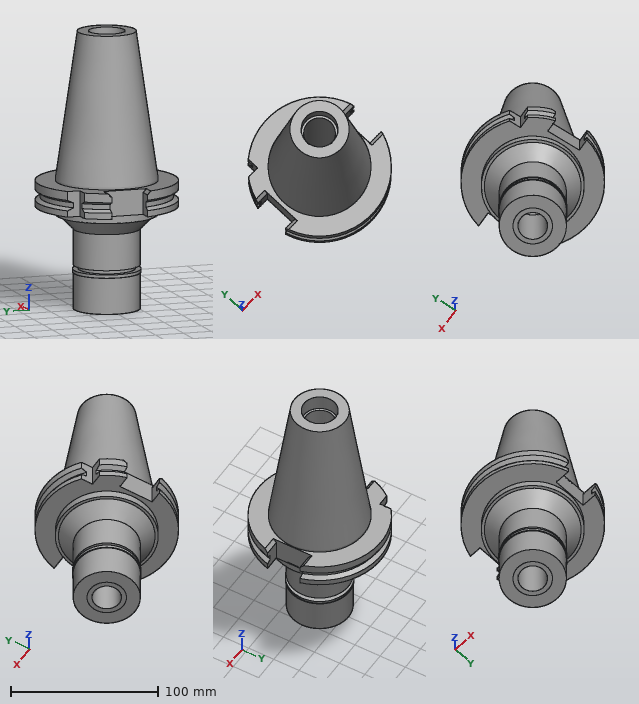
import cadquery as cq
import math

TOTAL_LENGTH = 191.8

SHANK_RADIUS = 34.9
TAPER_BASE_Z = 90.0
TAPER_RATIO = 7 / 48
TAPER_TIP_RADIUS = SHANK_RADIUS - (TOTAL_LENGTH - TAPER_BASE_Z) * TAPER_RATIO

FLANGE_RADIUS = 48.7
FLANGE_BOTTOM_Z = 71.0
FLANGE_TOP_Z = 88.5
GROOVE_Z = 78.8
GROOVE_FLOOR_RADIUS = 45.5
GROOVE_FLOOR_WIDTH = 3.5
GROOVE_WALL_ANGLE = 30.0

SLOT_WIDTH = 25.7
SLOT_CHAMFER = 2.5
LEFT_SLOT_FLOOR = 37.8
RIGHT_SLOT_FLOOR = 35.5
NOTCH_OFFSET = 29.7

COLLAR_BOTTOM_Z = 65.2
BODY_RADIUS = 22.8
BODY_TOP_Z = 55.2
BODY_BOTTOM_Z = 30.3
SHOULDER_RADIUS = BODY_RADIUS + (COLLAR_BOTTOM_Z - BODY_TOP_Z)
NOSE_RADIUS = 19.4

DRAWBAR_RADIUS = 12.5
DRAWBAR_DEPTH = 11.3
BORE_RADIUS = 10.7

NUT_RADIUS = BODY_RADIUS
NUT_RIM_RADIUS = 23.4
NUT_RIM_BOTTOM_Z = 25.1
NUT_TOP_Z = 27.5

COLLET_BORE_RADIUS = 10.0
COLLET_RADIUS = 16.5
COLLET_SHOULDER_Z = 5.4
COLLET_LENGTH = 40.0
COLLET_FRONT_ANGLE = 30.0
COLLET_TAPER_ANGLE = 8.0
COLLET_FRONT_RADIUS = COLLET_RADIUS - COLLET_SHOULDER_Z * math.tan(math.radians(COLLET_FRONT_ANGLE))
COLLET_REAR_RADIUS = COLLET_RADIUS - (COLLET_LENGTH - COLLET_SHOULDER_Z) * math.tan(
    math.radians(COLLET_TAPER_ANGLE)
)


def revolve_profile(points):
    """Turn a closed outline of (radius, z) points about the Z axis."""
    return cq.Workplane("XZ").polyline(points).close().revolve(360, (0, 0, 0), (0, 1, 0))


def make_turned_holder():
    """Holder as a turned part, with its grooved flange, bore and collet socket."""
    wall_height = (FLANGE_RADIUS - GROOVE_FLOOR_RADIUS) * math.tan(math.radians(GROOVE_WALL_ANGLE))
    floor_low = GROOVE_Z - GROOVE_FLOOR_WIDTH / 2
    floor_high = GROOVE_Z + GROOVE_FLOOR_WIDTH / 2
    drawbar_floor = TOTAL_LENGTH - DRAWBAR_DEPTH
    return revolve_profile([
        (COLLET_RADIUS, COLLET_SHOULDER_Z),
        (NOSE_RADIUS, COLLET_SHOULDER_Z),
        (NOSE_RADIUS, BODY_BOTTOM_Z),
        (BODY_RADIUS, BODY_BOTTOM_Z),
        (BODY_RADIUS, BODY_TOP_Z),
        (SHOULDER_RADIUS, COLLAR_BOTTOM_Z),
        (SHANK_RADIUS, COLLAR_BOTTOM_Z),
        (SHANK_RADIUS, FLANGE_BOTTOM_Z),
        (FLANGE_RADIUS, FLANGE_BOTTOM_Z),
        (FLANGE_RADIUS, floor_low - wall_height),
        (GROOVE_FLOOR_RADIUS, floor_low),
        (GROOVE_FLOOR_RADIUS, floor_high),
        (FLANGE_RADIUS, floor_high + wall_height),
        (FLANGE_RADIUS, FLANGE_TOP_Z),
        (SHANK_RADIUS, FLANGE_TOP_Z),
        (SHANK_RADIUS, TAPER_BASE_Z),
        (TAPER_TIP_RADIUS, TOTAL_LENGTH),
        (DRAWBAR_RADIUS, TOTAL_LENGTH),
        (DRAWBAR_RADIUS, drawbar_floor),
        (BORE_RADIUS, drawbar_floor),
        (BORE_RADIUS, COLLET_LENGTH),
        (COLLET_REAR_RADIUS, COLLET_LENGTH),
    ])


def make_slot_cutter(side, floor_distance):
    """Drive slot with chamfered upper edges; side is -1 for -X and +1 for +X."""
    half = SLOT_WIDTH / 2
    wide = half + SLOT_CHAMFER
    chamfer_z = FLANGE_TOP_Z - SLOT_CHAMFER
    outline = [
        (-half, FLANGE_BOTTOM_Z),
        (half, FLANGE_BOTTOM_Z),
        (half, chamfer_z),
        (wide, FLANGE_TOP_Z),
        (-wide, FLANGE_TOP_Z),
        (-half, chamfer_z),
    ]
    depth = FLANGE_RADIUS - floor_distance
    return (
        cq.Workplane("YZ", origin=(side * floor_distance, 0, 0))
        .polyline(outline)
        .close()
        .extrude(side * depth)
    )


def make_notch_cutter():
    """Square-cornered notch in the -X, +Y edge of the flange."""
    size = FLANGE_RADIUS - NOTCH_OFFSET
    height = FLANGE_TOP_Z - FLANGE_BOTTOM_Z
    return cq.Workplane("XY").box(size, size, height, centered=False).translate(
        (-FLANGE_RADIUS, NOTCH_OFFSET, FLANGE_BOTTOM_Z)
    )


def make_holder():
    """Taper-shank holder."""
    holder = make_turned_holder()
    for side, floor_distance in ((-1, LEFT_SLOT_FLOOR), (1, RIGHT_SLOT_FLOOR)):
        holder = holder.cut(make_slot_cutter(side, floor_distance))
    return holder.cut(make_notch_cutter())


def make_nut():
    """Rimmed nut around the holder's nose, with a cone that retains the collet."""
    return revolve_profile([
        (COLLET_FRONT_RADIUS, 0),
        (NUT_RADIUS, 0),
        (NUT_RADIUS, NUT_RIM_BOTTOM_Z),
        (NUT_RIM_RADIUS, NUT_RIM_BOTTOM_Z),
        (NUT_RIM_RADIUS, NUT_TOP_Z),
        (NOSE_RADIUS, NUT_TOP_Z),
        (NOSE_RADIUS, COLLET_SHOULDER_Z),
        (COLLET_RADIUS, COLLET_SHOULDER_Z),
    ])


def make_collet():
    """Double-cone sleeve with a straight through bore."""
    return revolve_profile([
        (COLLET_BORE_RADIUS, 0),
        (COLLET_FRONT_RADIUS, 0),
        (COLLET_RADIUS, COLLET_SHOULDER_Z),
        (COLLET_REAR_RADIUS, COLLET_LENGTH),
        (COLLET_BORE_RADIUS, COLLET_LENGTH),
    ])


holder = make_holder()
nut = make_nut()
collet = make_collet()

result = cq.Compound.makeCompound([holder.val(), nut.val(), collet.val()])